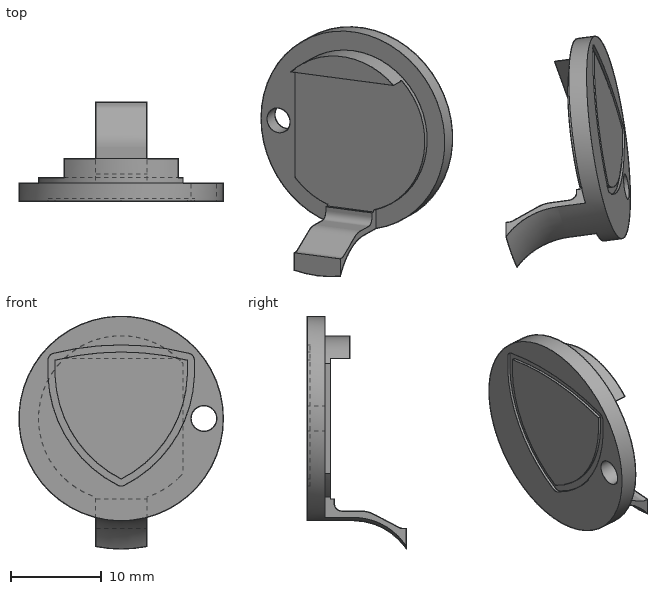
import cadquery as cq
import math

disc_radius = 22.5 / 2
disc_thickness = 2.0

hole_diameter = 2.8
hole_x = 9.1

pad_radius = 9.1
pad_height = 0.6
pad_flat_x = 6.8

lug_back_y = 4.7
lug_bottom_z = 6.58

clip_width = 5.65
clip_tip_y = 10.93
clip_tip_radius = 14.37
clip_root_back_y = 3.0
clip_root_top_z = -8.84
clip_root_overlap = 0.4
clip_top_z = -10.18
clip_root_fillet = 0.85
clip_bend_y = 6.68
clip_bend_fillet = 3.0
clip_lip_y = 10.33
clip_lip_z = -12.09
clip_lip_fillet = 0.8
flare_start_y = 5.1

shield_half_width = 7.27
shield_crown_z = 7.31
shield_corner_z = 6.41
shield_side_end_z = 4.65
shield_point_z = -6.66
shield_flank_mid_x = 4.83
shield_flank_mid_z = -2.5
groove_width = 0.78
groove_depth = 0.3


def cylinder_along_y(radius, start_y, end_y):
    return (
        cq.Workplane("XZ", origin=(0, start_y, 0))
        .circle(radius)
        .extrude(-(end_y - start_y))
    )


def box_between(low, high):
    sizes = [b - a for a, b in zip(low, high)]
    return cq.Workplane("XY").box(*sizes, centered=False).translate(low)


def make_pad():
    pad = cylinder_along_y(pad_radius, disc_thickness, disc_thickness + pad_height)
    keep = box_between(
        (-disc_radius, 0, -disc_radius),
        (pad_flat_x, lug_back_y, disc_radius),
    )
    return pad.intersect(keep)


def make_lug():
    lug = cylinder_along_y(pad_radius, disc_thickness, lug_back_y)
    keep = box_between(
        (-disc_radius, 0, lug_bottom_z),
        (disc_radius, lug_back_y, disc_radius),
    )
    return lug.intersect(keep)


def make_clip():
    pad_back_y = disc_thickness + pad_height
    root_inner_z = clip_root_top_z + clip_root_overlap
    blank = (
        cq.Workplane("YZ")
        .polyline([
            (disc_thickness, root_inner_z),
            (pad_back_y, root_inner_z),
            (pad_back_y, clip_root_top_z),
            (clip_root_back_y, clip_root_top_z),
            (clip_root_back_y, clip_top_z),
            (clip_bend_y, clip_top_z),
            (clip_lip_y, clip_lip_z),
            (clip_tip_y, clip_lip_z),
            (clip_tip_y, -clip_tip_radius),
            (disc_thickness, -clip_tip_radius),
        ])
        .close()
        .extrude(clip_width / 2, both=True)
    )
    for y, z, radius in (
        (clip_root_back_y, clip_top_z, clip_root_fillet),
        (clip_bend_y, clip_top_z, clip_bend_fillet),
        (clip_lip_y, clip_lip_z, clip_lip_fillet),
    ):
        blank = blank.edges(cq.selectors.NearestToPointSelector((0, y, z))).fillet(radius)

    flare_length = clip_tip_y - flare_start_y
    flare_rise = clip_tip_radius - disc_radius
    flare_radius = (flare_length**2 + flare_rise**2) / (2 * flare_rise)
    half_angle = math.asin(flare_length / flare_radius) / 2
    flare_mid = (
        disc_radius + flare_radius * (1 - math.cos(half_angle)),
        flare_start_y + flare_radius * math.sin(half_angle),
    )
    envelope = (
        cq.Workplane("XY")
        .moveTo(0, 0)
        .lineTo(disc_radius, 0)
        .lineTo(disc_radius, flare_start_y)
        .threePointArc(flare_mid, (clip_tip_radius, clip_tip_y))
        .lineTo(0, clip_tip_y)
        .close()
        .revolve(360, (0, 0, 0), (0, 1, 0))
    )
    return blank.intersect(envelope)


def shield_outline():
    return (
        cq.Workplane("XZ")
        .moveTo(-shield_half_width, shield_corner_z)
        .threePointArc((0, shield_crown_z), (shield_half_width, shield_corner_z))
        .lineTo(shield_half_width, shield_side_end_z)
        .threePointArc((shield_flank_mid_x, shield_flank_mid_z), (0, shield_point_z))
        .threePointArc(
            (-shield_flank_mid_x, shield_flank_mid_z),
            (-shield_half_width, shield_side_end_z),
        )
        .close()
    )


def make_shield_groove():
    outer = shield_outline().offset2D(groove_width, "arc").extrude(-groove_depth)
    inner = shield_outline().extrude(-groove_depth)
    return outer.cut(inner)


def make_hole():
    return cylinder_along_y(hole_diameter / 2, 0, disc_thickness).translate((hole_x, 0, 0))


disc = cylinder_along_y(disc_radius, 0, disc_thickness)
body = disc.union(make_pad()).union(make_lug()).union(make_clip())
result = body.cut(make_hole()).cut(make_shield_groove())